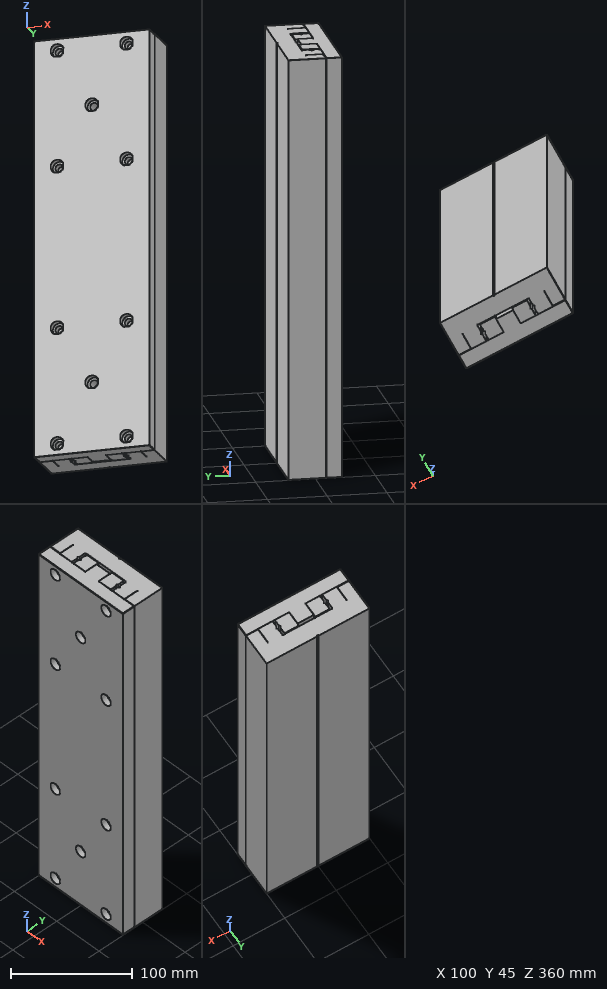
import cadquery as cq

LENGTH = 360.0
WIDTH = 100.0
DEPTH = 45.0
OUTER_CHAMFER = 0.5

BASE_THICKNESS = 13.0
TONGUE_WIDTH = 16.0
TONGUE_TOP = 26.0

RAIL_WIDTH = 14.0
RAIL_HEIGHT = 15.0
GUIDE_CHAMFER = 0.5

V_HALF_HEIGHT = 1.5
V_DEPTH = 1.0

RAIL_SIDE_GAP = 2.0
RAIL_TOP_GAP = 0.7
LEG_WIDTH = RAIL_WIDTH
SLIT_WIDTH = 0.18
SLIT_HEIGHT = RAIL_HEIGHT
CHAMFERED_FLANK_GAP = 0.65
PLAIN_FLANK_GAP = 0.5
BACK_GROOVE_WIDTH = 1.5
BACK_GROOVE_DEPTH = 0.7

HOLE_DIAMETER = 7.0
COUNTERBORE_DIAMETER = 11.0
COUNTERBORE_DEPTH = 6.0
HOLE_SPACING_X = 60.0
END_HOLE_MARGIN = 10.0
CENTRE_HOLE_MARGIN = 60.0
INNER_HOLE_MARGIN = 110.0

TONGUE_HALF_WIDTH = TONGUE_WIDTH / 2
RAIL_OUTER_X = TONGUE_HALF_WIDTH + RAIL_WIDTH
RAIL_TOP = BASE_THICKNESS + RAIL_HEIGHT
V_CENTRE_Y = BASE_THICKNESS + RAIL_HEIGHT / 2
CHANNEL_HALF_WIDTH = RAIL_OUTER_X + RAIL_SIDE_GAP
CHANNEL_TOP = RAIL_TOP + RAIL_TOP_GAP
LEG_OUTER_X = CHANNEL_HALF_WIDTH + LEG_WIDTH


def bar(x_start, x_end, y_min, y_max):
    """Full-length rectangular bar between two X positions, in either order, and two Y positions."""
    return (
        cq.Workplane("XY")
        .center((x_start + x_end) / 2, (y_min + y_max) / 2)
        .rect(abs(x_end - x_start), y_max - y_min)
        .extrude(LENGTH)
    )


def v_groove(x_face, direction):
    """Full-length V cutter that enters the face at x_face along +X (1) or -X (-1)."""
    return (
        cq.Workplane("XY")
        .moveTo(x_face, V_CENTRE_Y - V_HALF_HEIGHT)
        .lineTo(x_face + direction * V_DEPTH, V_CENTRE_Y)
        .lineTo(x_face, V_CENTRE_Y + V_HALF_HEIGHT)
        .close()
        .extrude(LENGTH)
    )


def mirrored_in_length(x, margin):
    """Two hole positions at the same distance from either end."""
    return [(x, margin), (x, LENGTH - margin)]


def mounting_hole_cutters():
    """Counterbored holes along Y, entering from the outer face of the base."""
    points = mirrored_in_length(0, CENTRE_HOLE_MARGIN)
    for x in (-HOLE_SPACING_X / 2, HOLE_SPACING_X / 2):
        points += mirrored_in_length(x, END_HOLE_MARGIN)
        points += mirrored_in_length(x, INNER_HOLE_MARGIN)
    layout = cq.Workplane("XZ").pushPoints(points)
    bores = layout.circle(HOLE_DIAMETER / 2).extrude(-TONGUE_TOP)
    counterbores = layout.circle(COUNTERBORE_DIAMETER / 2).extrude(-COUNTERBORE_DEPTH)
    return bores.union(counterbores)


def make_base():
    """Chamfered plate and tongue; the centre holes run through the tongue."""
    plate = bar(-WIDTH / 2, WIDTH / 2, 0, BASE_THICKNESS)
    plate = plate.edges("not >Y").chamfer(OUTER_CHAMFER)
    tongue = bar(-TONGUE_HALF_WIDTH, TONGUE_HALF_WIDTH, BASE_THICKNESS / 2, TONGUE_TOP)
    return plate.union(tongue).cut(mounting_hole_cutters())


def make_rail(side):
    """Rail beside the tongue on the -X (-1) or +X (1) side, grooved on its outer face."""
    rail = bar(side * TONGUE_HALF_WIDTH, side * RAIL_OUTER_X, BASE_THICKNESS, RAIL_TOP)
    outer_face = ">X" if side > 0 else "<X"
    rail = rail.faces(outer_face).edges("|Z").chamfer(GUIDE_CHAMFER)
    return rail.cut(v_groove(side * RAIL_OUTER_X, -side))


def make_channel_cutter():
    """Space for the rails and tongue, with bevelled upper corners."""
    channel = bar(-CHANNEL_HALF_WIDTH, CHANNEL_HALF_WIDTH, BASE_THICKNESS, CHANNEL_TOP)
    return channel.faces(">Y").edges("|Z").chamfer(GUIDE_CHAMFER)


def make_housing():
    """Cover with two grooved legs that stand on the base; its flanks clear the base.

    The -X face is chamfered and clears the base by slightly more than the plain +X side.
    """
    housing = bar(-WIDTH / 2, WIDTH / 2, BASE_THICKNESS, DEPTH)
    housing = housing.faces("<X").edges("not <Y").chamfer(OUTER_CHAMFER)
    housing = housing.cut(make_channel_cutter())
    for side, gap in ((-1, CHAMFERED_FLANK_GAP), (1, PLAIN_FLANK_GAP)):
        slit_outer_x = LEG_OUTER_X + SLIT_WIDTH
        slit = bar(side * LEG_OUTER_X, side * slit_outer_x, BASE_THICKNESS, BASE_THICKNESS + SLIT_HEIGHT)
        flank_gap = bar(side * LEG_OUTER_X, side * WIDTH / 2, BASE_THICKNESS, BASE_THICKNESS + gap)
        housing = housing.cut(v_groove(side * CHANNEL_HALF_WIDTH, side)).cut(slit).cut(flank_gap)
    back_groove = bar(-BACK_GROOVE_WIDTH / 2, BACK_GROOVE_WIDTH / 2, DEPTH - BACK_GROOVE_DEPTH, DEPTH)
    return housing.cut(back_groove)


base = make_base()
housing = make_housing()
rails = [make_rail(side).val() for side in (-1, 1)]

result = cq.Compound.makeCompound([base.val(), housing.val(), *rails])